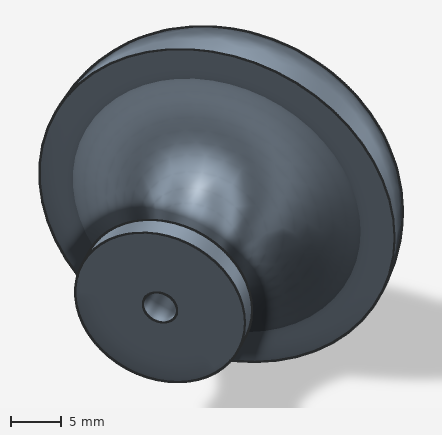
import cadquery as cq

length = 29.3
cap_radius = 18.45
cap_height = 10.77
foot_radius = 8.82
foot_height = 2.32
hole_diameter = 3.55
hole_depth = 14.75

rim_handle = 8.3
apex_handle = 14.75

flare_radius = 14.95

rim_y = length - cap_height

neck_points = [
    (5.85, 3.9),
    (4.65, 5.42),
    (4.05, 7.25),
    (4.25, 9.93),
    (5.83, 13.55),
    (8.55, 16.0),
    (11.7, 17.6),
    (flare_radius, rim_y),
]


def knob_body():
    """Revolve the half outline of foot, neck and cap about the Y axis."""
    outline = (
        cq.Workplane("XY")
        .lineTo(foot_radius, 0)
        .lineTo(foot_radius, foot_height)
        .spline(neck_points, includeCurrent=True)
        .lineTo(cap_radius, rim_y)
        .bezier(
            [
                (cap_radius, rim_y + rim_handle),
                (apex_handle, length),
                (0, length),
            ],
            includeCurrent=True,
        )
        .close()
    )
    return outline.revolve(360, (0, 0, 0), (0, 1, 0))


def screw_hole():
    """Blind, flat-bottomed hole running into the foot along +Y."""
    return cq.Workplane("XZ").circle(hole_diameter / 2).extrude(-hole_depth)


result = knob_body().cut(screw_hole())